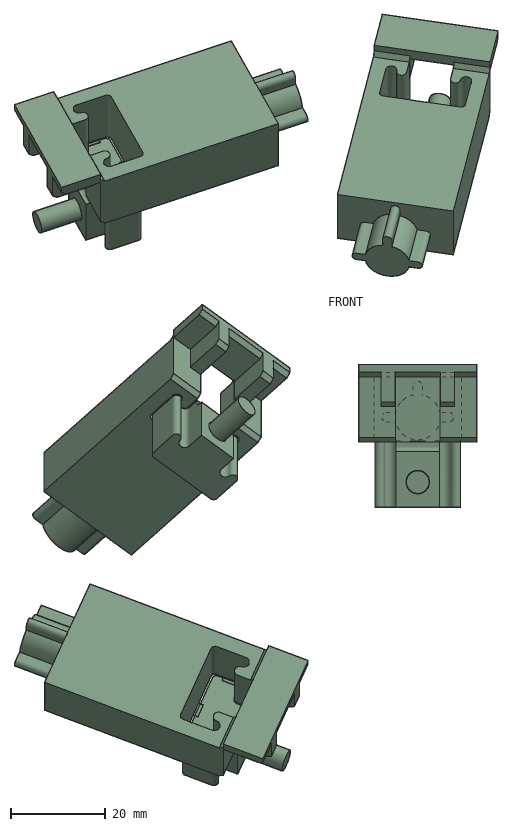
import cadquery as cq
import math

housing_width = 25.0
housing_length = 41.0
housing_height = 13.8
edge_chamfer = 1.0

foot_height = 13.8
housing_top = foot_height + housing_height

stop_height = 30.3
stop_reach = 9.05
rib_inner = 4.85
rib_width = 2.9
rib_bottom = 21.35
corner_fill = 0.95

pocket_half_width = 9.25
mouth_half_width = 4.75
pocket_depth = 11.5
lobe_radius = 1.2
lobe_y = 3.9
back_corner_radius = 0.95

side_clearance = 0.2
back_clearance = 0.35
foot_lobe_y = 4.0
foot_bay_y = 3.85

notch_depth = 1.5
notch_height = 1.95
notch_fillet = 0.95

tab_height = 0.2
tab_length = 3.0
back_tab_reach = 1.05
side_tab_reach = 0.9
side_tab_y = 7.45
mouth_tab_reach = 1.0
mouth_tab_length = 0.95

pin_hole_diameter = 5.0
pin_hole_depth = 2.95
pin_diameter = 4.8
pin_length = 9.25
pin_height = 5.35
spigot_radius = 4.8
spigot_length = 9.0
spigot_height = 19.1
key_radius = 1.0
key_reach = 7.6


def box(x_range, y_range, z_range):
    """Axis-aligned block given by its two limits along each axis."""
    (x0, x1), (y0, y1), (z0, z1) = x_range, y_range, z_range
    return cq.Workplane("XY").box(x1 - x0, y1 - y0, z1 - z0, centered=False).translate((x0, y0, z0))


def both_sides(solid):
    """The solid together with its mirror image across the YZ plane."""
    return solid.union(solid.mirror("YZ"))


def clip_column(side, mouth, back, lobe, lobe_centre_y, bay_centre_y, bottom, height):
    """Column with two rounded lobes, each parted from the middle mouth by a round bay."""
    waist = side - 2 * lobe
    bay = (waist - mouth) / 2
    waist_y = (lobe_centre_y + bay_centre_y) / 2
    return (
        cq.Workplane("XY", origin=(0, 0, bottom))
        .moveTo(-mouth, 0)
        .lineTo(mouth, 0)
        .lineTo(mouth, bay_centre_y)
        .threePointArc((mouth + bay, bay_centre_y + bay), (waist, waist_y))
        .threePointArc((waist + lobe, lobe_centre_y - lobe), (side, lobe_centre_y))
        .lineTo(side, back)
        .lineTo(-side, back)
        .lineTo(-side, lobe_centre_y)
        .threePointArc((-waist - lobe, lobe_centre_y - lobe), (-waist, waist_y))
        .threePointArc((-mouth - bay, bay_centre_y + bay), (-mouth, bay_centre_y))
        .close()
        .extrude(height)
        .edges("|Z and >Y")
        .fillet(back_corner_radius)
    )


def make_housing():
    half_width = housing_width / 2
    profile = [
        (edge_chamfer, foot_height),
        (housing_length, foot_height),
        (housing_length, housing_top),
        (corner_fill, housing_top),
        (0, housing_top + corner_fill),
        (0, stop_height),
        (-stop_reach, stop_height),
        (-stop_reach, housing_top + edge_chamfer),
        (-stop_reach + edge_chamfer, housing_top),
        (0, housing_top),
        (0, foot_height + edge_chamfer),
    ]
    block = cq.Workplane("YZ", origin=(-half_width, 0, 0)).polyline(profile).close().extrude(housing_width)
    rib = box((rib_inner, rib_inner + rib_width), (-stop_reach, 0), (rib_bottom, housing_top + edge_chamfer))
    rib = rib.edges("|X and <Y and <Z").chamfer(edge_chamfer)
    pocket = clip_column(
        pocket_half_width,
        mouth_half_width,
        pocket_depth,
        lobe_radius,
        lobe_y,
        lobe_y,
        foot_height,
        stop_height - foot_height,
    )
    return block.cut(pocket).union(both_sides(rib))


def make_foot():
    foot = clip_column(
        pocket_half_width - side_clearance,
        mouth_half_width - side_clearance,
        pocket_depth - back_clearance,
        lobe_radius - side_clearance,
        foot_lobe_y,
        foot_bay_y,
        0,
        foot_height,
    )
    notch = box(
        (-mouth_half_width, mouth_half_width),
        (0, notch_depth),
        (foot_height - notch_height, foot_height),
    )
    notch = notch.edges("|X and >Y and <Z").fillet(notch_fillet)
    front = cq.Workplane("XZ", origin=(0, 0, pin_height))
    pin_hole = front.circle(pin_hole_diameter / 2).extrude(-pin_hole_depth)
    pin = front.workplane(offset=-pin_hole_depth).circle(pin_diameter / 2).extrude(pin_hole_depth + pin_length)
    return foot.cut(notch).cut(pin_hole).union(pin)


def make_tabs():
    tab_z = (foot_height, foot_height + tab_height)
    back_tab = box((-tab_length / 2, tab_length / 2), (pocket_depth - back_tab_reach, pocket_depth), tab_z)
    side_tab = box(
        (pocket_half_width - side_tab_reach, pocket_half_width),
        (side_tab_y - tab_length / 2, side_tab_y + tab_length / 2),
        tab_z,
    )
    mouth_tab = box(
        (mouth_half_width - mouth_tab_reach, mouth_half_width),
        (notch_depth, notch_depth + mouth_tab_length),
        tab_z,
    )
    return [back_tab, both_sides(side_tab), both_sides(mouth_tab)]


def make_spigot():
    """Round spigot with three round-ended keys: one upward and one to each side."""
    end = cq.Workplane("XZ", origin=(0, housing_length, spigot_height))
    spigot = end.circle(spigot_radius).extrude(-spigot_length)
    key_tip = key_reach - key_radius
    for angle in (0, 90, 180):
        direction = math.radians(angle)
        key = (
            end.center(key_tip / 2 * math.cos(direction), key_tip / 2 * math.sin(direction))
            .slot2D(key_tip + 2 * key_radius, 2 * key_radius, angle)
            .extrude(-spigot_length)
        )
        spigot = spigot.union(key)
    return spigot


result = make_housing().union(make_foot()).union(make_spigot())
for tab in make_tabs():
    result = result.union(tab)